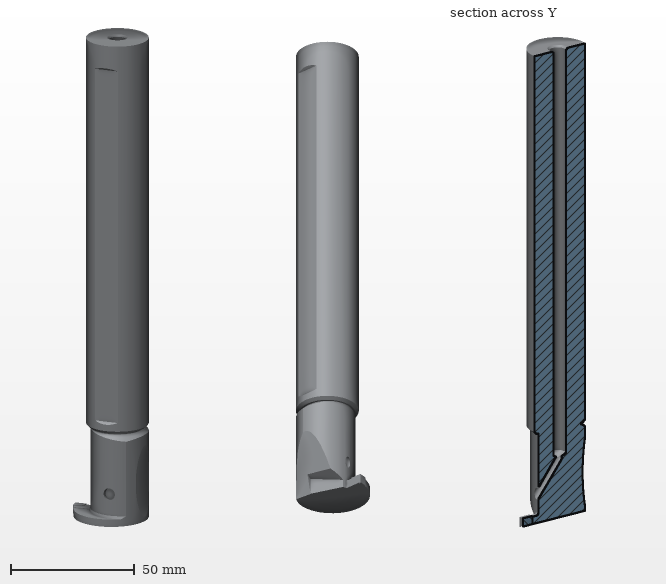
import cadquery as cq
import math

TOTAL_LENGTH = 203.2
BLADE_BOTTOM = 0.55
BLADE_TOP = 3.65
SHANK_BOTTOM = 39.1

SHANK_RADIUS = 12.7
SHANK_CHAMFER = 1.2
FLAT_WIDTH = 9.9
FLAT_BOTTOM = 43.0
FLAT_TOP = 193.7
FLAT_DEPTH = SHANK_RADIUS - math.sqrt(SHANK_RADIUS**2 - (FLAT_WIDTH / 2) ** 2)

NECK_RADIUS = 10.7
NECK_BOTTOM = 38.6
SHOULDER_RADIUS = 11.2
RELIEF_REACH = 5.0

HEAD_SHIFT = 1.8
HEAD_RADIUS = 12.6
HEAD_FOOT_HEIGHT = 1.05
HEAD_FOOT_SPREAD = 0.55

BLADE_RADIUS = 15.33
BLADE_CENTRE_X = SHANK_RADIUS - BLADE_RADIUS

SLOPE_TILT = 13.4
SLOPE_TURN = 5.5
SLOPE_BOTTOM_Y = 6.2

SCALLOP_RADIUS = 95.0
SCALLOP_FLOOR = 11.5
SCALLOP_HEIGHT = 17.5
SCALLOP_TURN = 5.0

POCKET_INNER_X = -11.5
POCKET_INNER_Y = 1.7
POCKET_FAR_X = 3.0
POCKET_FAR_Y = 6.8
POCKET_ROOF = 2.3
POCKET_ROOF_SLOPE = 0.75

INSERT_TIP_X = -18.55
INSERT_TOP = 4.3
INSERT_FACE_Y = 0.3
INSERT_REAR_X = -13.7
INSERT_REAR_Y = -1.7
INSERT_HEEL_X = -18.0
INSERT_HEEL_Y = -3.2
NIB_SIZE = 0.6
SEAT_TOP = 3.95
SEAT_REAR_X = -10.2
SEAT_EDGE_Y = -4.8

BORE_DIAMETER = 6.6
BORE_MOUTH_DIAMETER = 8.2
BORE_BOTTOM = 26.0
DRILL_POINT_HALF_ANGLE = 59.0
OUTLET_DIAMETER = 3.0
OUTLET_MOUTH = (HEAD_SHIFT - HEAD_RADIUS, -0.6, 12.9)
OUTLET_START = (0, -1.3, 27.0)
SCREW_HOLE_DIAMETER = 4.9
SCREW_HOLE_DEPTH = 4.0
SCREW_HOLE_MOUTH = (1.5, -HEAD_RADIUS, 13.7)
SCREW_HOLE_DIRECTION = (-0.15, 1, -0.2)

CLEAR = 40.0


def disc(centre_x, radius, bottom, top):
    """Upright cylinder with its axis at Y = 0."""
    return cq.Workplane("XY", origin=(centre_x, 0, bottom)).circle(radius).extrude(top - bottom)


def prism(points, bottom, top):
    """Upright prism on a polygon."""
    return cq.Workplane("XY", origin=(0, 0, bottom)).polyline(points).close().extrude(top - bottom)


def front_half(bottom, top):
    """Block covering the -Y side."""
    return cq.Workplane("XY", origin=(0, -CLEAR / 2, bottom)).box(
        2 * CLEAR, CLEAR, top - bottom, centered=(True, True, False)
    )


def straight_hole(start, direction, diameter, depth):
    """Round cutter running from a point along a direction."""
    plane = cq.Plane(origin=start, normal=direction)
    return cq.Workplane(plane).circle(diameter / 2).extrude(depth)


def make_shank():
    shank = disc(0, SHANK_RADIUS, SHANK_BOTTOM, TOTAL_LENGTH)
    shank = shank.faces("<Z").chamfer(SHANK_CHAMFER)
    floor_y = SHANK_RADIUS - FLAT_DEPTH
    for side in (-1, 1):
        flat = (
            cq.Workplane("YZ")
            .moveTo(side * floor_y, FLAT_BOTTOM + FLAT_DEPTH)
            .lineTo(side * SHANK_RADIUS, FLAT_BOTTOM)
            .lineTo(side * SHANK_RADIUS, FLAT_TOP)
            .lineTo(side * floor_y, FLAT_TOP - FLAT_DEPTH)
            .close()
            .extrude(SHANK_RADIUS, both=True)
        )
        shank = shank.cut(flat)
    return shank


def make_outer_limit(bottom, top):
    """Blade outline on the -Y side, shank outline on the +Y side."""
    blade_side = disc(BLADE_CENTRE_X, BLADE_RADIUS, bottom, top).intersect(front_half(bottom, top))
    return disc(0, SHANK_RADIUS, bottom, top).union(blade_side)


def make_neck_limit():
    """Neck cylinder, a narrow ledge, then a shoulder opening downwards at 45 degrees."""
    wide_radius = SHOULDER_RADIUS + RELIEF_REACH
    outline = [
        (0, BLADE_BOTTOM),
        (wide_radius, BLADE_BOTTOM),
        (wide_radius, NECK_BOTTOM - RELIEF_REACH),
        (SHOULDER_RADIUS, NECK_BOTTOM),
        (NECK_RADIUS, NECK_BOTTOM),
        (NECK_RADIUS, SHANK_BOTTOM),
        (0, SHANK_BOTTOM),
    ]
    return cq.Workplane("XZ").polyline(outline).close().revolve(360, (0, 0), (0, 1))


def make_head():
    head = disc(HEAD_SHIFT, HEAD_RADIUS, BLADE_BOTTOM, SHANK_BOTTOM)
    foot = (
        cq.Workplane("XY", origin=(HEAD_SHIFT, 0, BLADE_TOP))
        .circle(HEAD_RADIUS + HEAD_FOOT_SPREAD)
        .workplane(offset=HEAD_FOOT_HEIGHT)
        .circle(HEAD_RADIUS)
        .loft()
        .intersect(front_half(BLADE_TOP, SHANK_BOTTOM))
    )
    head = head.union(foot)
    head = head.intersect(make_outer_limit(BLADE_BOTTOM, SHANK_BOTTOM))
    return head.intersect(make_neck_limit())


def make_blade():
    blade = disc(BLADE_CENTRE_X, BLADE_RADIUS, BLADE_BOTTOM, BLADE_TOP)
    return blade.intersect(front_half(BLADE_BOTTOM, BLADE_TOP))


def make_seat():
    """Raised strip of the blade behind the insert."""
    strip = prism(
        [
            (-CLEAR, INSERT_FACE_Y),
            (SEAT_REAR_X, INSERT_FACE_Y),
            (SEAT_REAR_X, SEAT_EDGE_Y),
            (-CLEAR, SEAT_EDGE_Y),
        ],
        BLADE_BOTTOM,
        SEAT_TOP,
    )
    return strip.intersect(disc(BLADE_CENTRE_X, BLADE_RADIUS, BLADE_BOTTOM, SEAT_TOP))


def make_slope_cut():
    rise = CLEAR * math.tan(math.radians(SLOPE_TILT))
    cut = (
        cq.Workplane("YZ")
        .polyline([(SLOPE_BOTTOM_Y, 0), (SLOPE_BOTTOM_Y + rise, CLEAR), (CLEAR, CLEAR), (CLEAR, 0)])
        .close()
        .extrude(CLEAR, both=True)
    )
    return cut.rotate((0, 0, 0), (0, 0, 1), SLOPE_TURN)


def make_scallop_cut():
    cut = (
        cq.Workplane("XZ")
        .center(SCALLOP_FLOOR + SCALLOP_RADIUS, SCALLOP_HEIGHT)
        .circle(SCALLOP_RADIUS)
        .extrude(CLEAR, both=True)
    )
    return cut.rotate((0, 0, 0), (0, 0, 1), -SCALLOP_TURN)


def make_chip_pocket():
    walls = prism(
        [
            (-CLEAR, INSERT_FACE_Y),
            (POCKET_INNER_X, INSERT_FACE_Y),
            (POCKET_INNER_X, POCKET_INNER_Y),
            (POCKET_FAR_X, POCKET_FAR_Y),
            (POCKET_FAR_X, CLEAR),
            (-CLEAR, CLEAR),
        ],
        0,
        CLEAR,
    )
    roof_end = POCKET_ROOF + CLEAR * POCKET_ROOF_SLOPE
    below_roof = (
        cq.Workplane("YZ")
        .polyline([(0, 0), (0, POCKET_ROOF), (CLEAR, roof_end), (CLEAR, 0)])
        .close()
        .extrude(CLEAR, both=True)
    )
    return walls.intersect(below_roof)


def make_bore():
    """Blind axial bore with a countersunk mouth and a drill point."""
    radius = BORE_DIAMETER / 2
    mouth_radius = BORE_MOUTH_DIAMETER / 2
    mouth_depth = mouth_radius - radius
    point_depth = radius / math.tan(math.radians(DRILL_POINT_HALF_ANGLE))
    outline = [
        (0, BORE_BOTTOM),
        (radius, BORE_BOTTOM + point_depth),
        (radius, TOTAL_LENGTH - mouth_depth),
        (mouth_radius, TOTAL_LENGTH),
        (0, TOTAL_LENGTH),
    ]
    return cq.Workplane("XZ").polyline(outline).close().revolve(360, (0, 0), (0, 1))


def make_coolant_outlet():
    """Slanting hole from the bore down to the -X side of the head."""
    start = cq.Vector(*OUTLET_START)
    run = cq.Vector(*OUTLET_MOUTH) - start
    return straight_hole(start, run, OUTLET_DIAMETER, run.Length + OUTLET_DIAMETER)


def make_screw_hole():
    """Blind flat-bottomed hole from the -Y side, cleared outwards past the surface."""
    inward = cq.Vector(*SCREW_HOLE_DIRECTION).normalized()
    start = cq.Vector(*SCREW_HOLE_MOUTH) - inward * SCREW_HOLE_DEPTH
    return straight_hole(start, inward, SCREW_HOLE_DIAMETER, 2 * SCREW_HOLE_DEPTH)


def make_insert():
    tip = (INSERT_TIP_X, INSERT_FACE_Y)
    body = prism(
        [
            tip,
            (INSERT_REAR_X, INSERT_FACE_Y),
            (INSERT_REAR_X, INSERT_REAR_Y),
            (INSERT_HEEL_X, INSERT_HEEL_Y),
        ],
        BLADE_BOTTOM,
        INSERT_TOP,
    )
    nib = prism(
        [
            tip,
            (INSERT_TIP_X + NIB_SIZE, INSERT_FACE_Y),
            (INSERT_TIP_X + NIB_SIZE / 2, INSERT_FACE_Y - NIB_SIZE),
        ],
        0,
        BLADE_BOTTOM,
    )
    return body.union(nib)


insert = make_insert()

holder = make_head().union(make_blade()).union(make_seat())
for cut in (make_slope_cut(), make_scallop_cut(), make_chip_pocket()):
    holder = holder.cut(cut)
holder = holder.union(make_shank())
for cut in (make_bore(), make_coolant_outlet(), make_screw_hole()):
    holder = holder.cut(cut)
holder = holder.cut(insert)

result = cq.Compound.makeCompound([holder.val(), insert.val()])